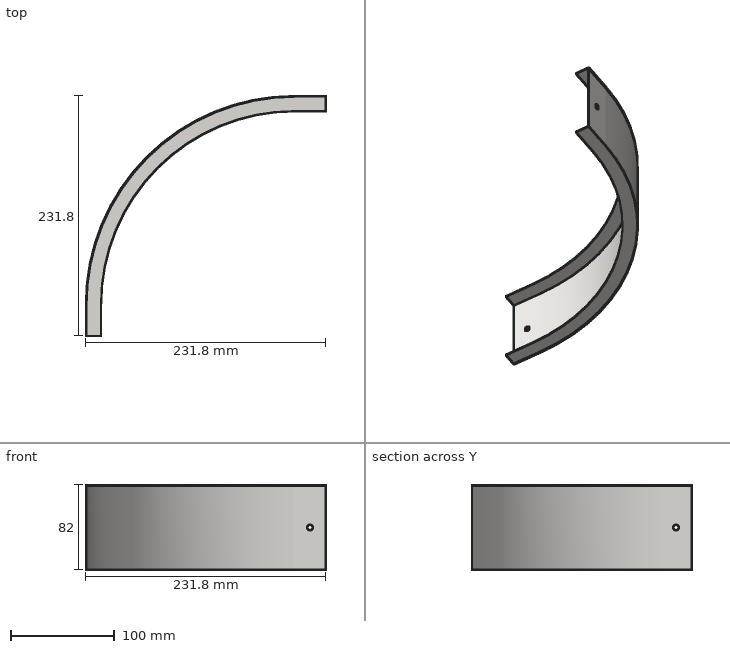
import cadquery as cq
import math

side = 231.8
height = 82.0

flange_width = 14.8
sheet = 0.7

straight_length = 30.5
hole_diameter = 5.0
hole_from_end = straight_length / 2

bend_radius = side - straight_length
half = side / 2
bend_center = half - straight_length


def bent_strip(inset, thickness, strip_height):
    """Quarter-bend strip with straight ends, inset from the outer web face."""
    outer = bend_radius - inset
    inner = outer - thickness
    diagonal = math.sqrt(0.5)

    def on_bend(radius):
        return (bend_center - radius * diagonal, -bend_center + radius * diagonal)

    return (
        cq.Workplane("XY")
        .moveTo(-half + inset, -half)
        .lineTo(-half + inset, -bend_center)
        .threePointArc(on_bend(outer), (bend_center, half - inset))
        .lineTo(half, half - inset)
        .lineTo(half, half - inset - thickness)
        .lineTo(bend_center, half - inset - thickness)
        .threePointArc(on_bend(inner), (-half + inset + thickness, -bend_center))
        .lineTo(-half + inset + thickness, -half)
        .close()
        .extrude(strip_height / 2, both=True)
    )


channel = bent_strip(0, flange_width, height).cut(
    bent_strip(sheet, flange_width, height - 2 * sheet)
)

hole_place = half - hole_from_end
y_end_hole = (
    cq.Workplane("YZ", origin=(-half, -hole_place, 0))
    .circle(hole_diameter / 2)
    .extrude(flange_width)
)
x_end_hole = (
    cq.Workplane("XZ", origin=(hole_place, half, 0))
    .circle(hole_diameter / 2)
    .extrude(flange_width)
)

result = channel.cut(y_end_hole).cut(x_end_hole)